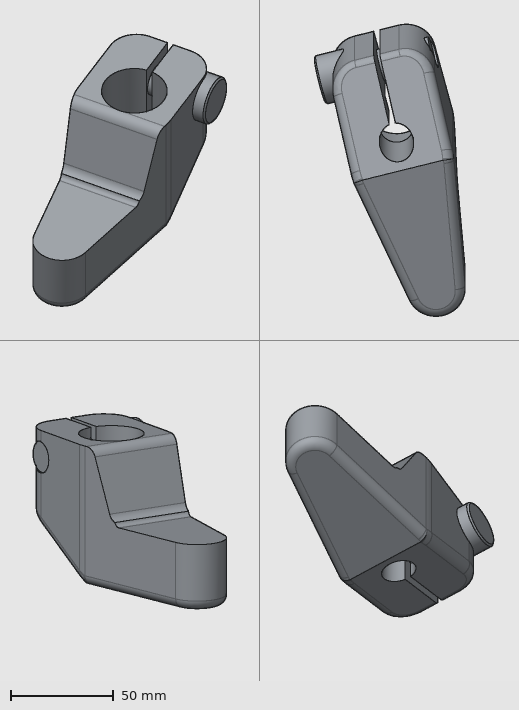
import cadquery as cq
import math


width = 50.8
back_y = 38.0
length = 128.5
back_corner_radius = 14.3
nose_radius = 14.3
taper_start_y = -12.6
taper_blend_radius = 25.7

height = 69.8
arm_height = 33.2
ramp_angle = 69.0
ramp_top_radius = 6.4
ramp_foot_y = -32.1
ramp_foot_z = 38.8
ramp_foot_radius = 5.8
ridge_y = -35.9
ridge_z = 35.4
groove_radius = 3.0
arm_top_start_y = -38.7
underside_bend_y = -12.2
underside_angle = 30.0
bottom_edge_radius = 4.9

bore_radius = 16.0
through_hole_radius = 8.4
bore_floor_z = 33.2
slot_width = 3.1

screw_y = 24.7
screw_z = 56.3
shank_diameter = 15.7
shank_tip_x = -24.3
head_diameter = 24.2
head_base_x = 12.9
head_end_x = 32.0
head_chamfer = 0.9


def make_outline(bottom_z):
    """Plan outline: rectangular clamp end tapering to a round nose."""
    half_width = width / 2
    nose_y = back_y - length + nose_radius
    run = taper_start_y - nose_y
    reach = math.hypot(half_width, run)
    taper = math.asin(nose_radius / reach) - math.atan2(half_width, run)
    tangent_x = nose_radius * math.cos(taper)
    tangent_y = nose_y + nose_radius * math.sin(taper)
    outline = (
        cq.Workplane("XY", origin=(0, 0, bottom_z))
        .moveTo(-half_width, back_y)
        .lineTo(half_width, back_y)
        .lineTo(half_width, taper_start_y)
        .lineTo(tangent_x, tangent_y)
        .threePointArc((0, back_y - length), (-tangent_x, tangent_y))
        .lineTo(-half_width, taper_start_y)
        .close()
        .extrude(height - bottom_z)
    )
    outline = outline.edges("|Z and >Y").fillet(back_corner_radius)
    blend_corners = cq.selectors.BoxSelector(
        (-width, taper_start_y - 1.3, bottom_z), (width, taper_start_y + 1.3, height)
    )
    return outline.edges("|Z").edges(blend_corners).fillet(taper_blend_radius)


def round_rim(body, bottom_selector):
    """Round all edges of the selected bottom face."""
    return body.faces(bottom_selector).edges().fillet(bottom_edge_radius)


def make_sloped_block():
    """Outline block cut off by the underside slope along its full length."""
    slope = math.tan(math.radians(underside_angle))
    low_z = (back_y - 2 * length - underside_bend_y) * slope
    high_z = (2 * length - underside_bend_y) * slope
    below_slope = (
        cq.Workplane("YZ")
        .moveTo(back_y - 2 * length, low_z)
        .lineTo(2 * length, high_z)
        .lineTo(2 * length, low_z)
        .close()
        .extrude(width, both=True)
    )
    block = make_outline(low_z).cut(below_slope)
    tilt = math.radians(underside_angle)
    down_slope_normal = cq.Vector(0, math.sin(tilt), -math.cos(tilt))
    slope_face = cq.selectors.DirectionSelector(down_slope_normal)
    return round_rim(block, slope_face)


def make_body():
    """Common part of a flat-bottomed and a slope-bottomed block, both with rounded rims."""
    return round_rim(make_outline(0), "<Z").intersect(make_sloped_block())


def cut_ramp(body):
    """Cut the space above the arm, with a steep ramp and two hollow rounds at its foot."""
    drop = (height - ramp_foot_z) / math.tan(math.radians(ramp_angle))
    ramp_top_y = ramp_foot_y + drop
    space = (
        cq.Workplane("YZ")
        .moveTo(ramp_top_y, height)
        .lineTo(ramp_foot_y, ramp_foot_z)
        .radiusArc((ridge_y, ridge_z), ramp_foot_radius)
        .radiusArc((arm_top_start_y, arm_height), groove_radius)
        .lineTo(-length, arm_height)
        .lineTo(-length, height)
        .close()
        .extrude(width, both=True)
    )
    body = body.cut(space)
    brow = cq.selectors.NearestToPointSelector((0, ramp_top_y, height))
    return body.edges("|X").edges(brow).fillet(ramp_top_radius)


def cut_bore_and_slot(body):
    """Stepped bore with a slot opening it to the back."""
    through_hole = cq.Workplane("XY").circle(through_hole_radius).extrude(height)
    bore = cq.Workplane("XY", origin=(0, 0, bore_floor_z)).circle(bore_radius).extrude(height)
    slot = cq.Workplane("XY").box(slot_width, back_y, height, centered=(True, False, False))
    return body.cut(through_hole).cut(bore).cut(slot)


def screw_cylinder(diameter, start_x, end_x):
    """Cylinder on the screw axis between two X positions."""
    base = cq.Workplane("YZ", origin=(start_x, screw_y, screw_z))
    return base.circle(diameter / 2).extrude(end_x - start_x)


def make_screw():
    """Clamp screw bridging the slot, with a chamfered cylindrical head."""
    shank = screw_cylinder(shank_diameter, shank_tip_x, head_base_x)
    head = screw_cylinder(head_diameter, head_base_x, head_end_x)
    return shank.union(head.faces(">X").chamfer(head_chamfer))


clamp = cut_bore_and_slot(cut_ramp(make_body()))
screw_hole_mouth = screw_cylinder(shank_diameter, -width / 2, shank_tip_x)
result = clamp.cut(screw_hole_mouth).union(make_screw())